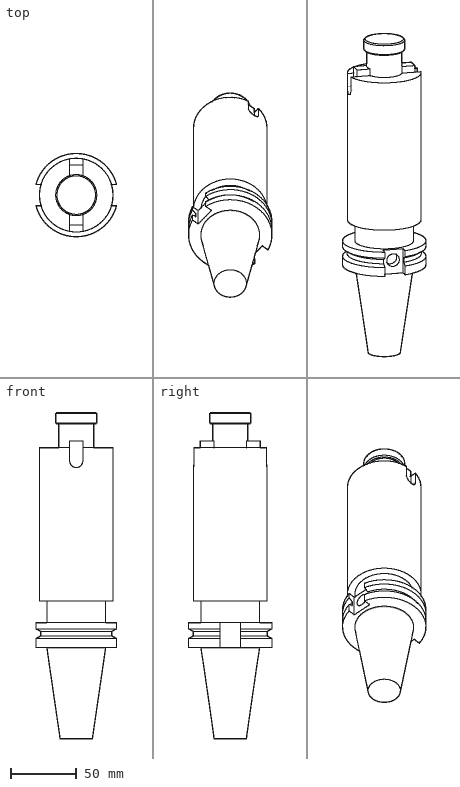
import cadquery as cq
import math

TOTAL_HEIGHT = 247.5
FLANGE_BOTTOM = 69.0
FLANGE_HEIGHT = 19.0
FLANGE_TOP = FLANGE_BOTTOM + FLANGE_HEIGHT
BODY_BOTTOM = 104.5
BODY_TOP = 220.8
SCREW_HEIGHT = 9.0
SPIGOT_TOP = TOTAL_HEIGHT - SCREW_HEIGHT

TAPER_RATIO = 7 / 24
TAPER_HEIGHT = 68.3
NECK_RADIUS = 22.3
TAPER_TIP_RADIUS = NECK_RADIUS - TAPER_HEIGHT * TAPER_RATIO / 2

FLANGE_RADIUS = 31.7
BODY_RADIUS = 28.0
SPIGOT_RADIUS = 13.4

GROOVE_FLOOR_RADIUS = 28.2
GROOVE_BOTTOM = FLANGE_BOTTOM + 7.0
GROOVE_TOP = FLANGE_TOP - 4.7
GROOVE_WALL_RISE = (FLANGE_RADIUS - GROOVE_FLOOR_RADIUS) * math.tan(math.radians(30))

NOTCH_WIDTH = 15.8
NOTCH_FLOOR = 25.0

HOLE_RADIUS = 5.0
HOLE_DEPTH = 7.5
HOLE_HEIGHT = 79.7

KEY_WIDTH = 10.0
KEY_OUTER_Y = 22.8
KEY_PROJECTION = 5.2
SLOT_DEPTH = 15.0

SCREW_RADIUS = 15.5
SCREW_CHAMFER = 1.0


def key_prism(outer_y, top):
    """Round-bottomed prism running along -Y from the spigot surface to outer_y."""
    half_width = KEY_WIDTH / 2
    slot_bottom = BODY_TOP - SLOT_DEPTH
    arc_center = slot_bottom + half_width
    prism = (
        cq.Workplane("XZ")
        .moveTo(-half_width, top)
        .lineTo(-half_width, arc_center)
        .threePointArc((0, slot_bottom), (half_width, arc_center))
        .lineTo(half_width, top)
        .close()
        .extrude(outer_y)
    )
    core = cq.Workplane("XY").circle(SPIGOT_RADIUS).extrude(TOTAL_HEIGHT)
    return prism.cut(core)


def turned_holder():
    """Taper, flange, neck, body and spigot revolved about Z."""
    profile = [
        (0, 0),
        (TAPER_TIP_RADIUS, 0),
        (NECK_RADIUS, TAPER_HEIGHT),
        (NECK_RADIUS, FLANGE_BOTTOM),
        (FLANGE_RADIUS, FLANGE_BOTTOM),
        (FLANGE_RADIUS, GROOVE_BOTTOM),
        (GROOVE_FLOOR_RADIUS, GROOVE_BOTTOM + GROOVE_WALL_RISE),
        (GROOVE_FLOOR_RADIUS, GROOVE_TOP - GROOVE_WALL_RISE),
        (FLANGE_RADIUS, GROOVE_TOP),
        (FLANGE_RADIUS, FLANGE_TOP),
        (NECK_RADIUS, FLANGE_TOP),
        (NECK_RADIUS, BODY_BOTTOM),
        (BODY_RADIUS, BODY_BOTTOM),
        (BODY_RADIUS, BODY_TOP),
        (SPIGOT_RADIUS, BODY_TOP),
        (SPIGOT_RADIUS, SPIGOT_TOP),
        (0, SPIGOT_TOP),
    ]
    return cq.Workplane("XZ").polyline(profile).close().revolve(360, (0, 0), (0, 1))


def drive_notch(side):
    """Flange notch cutter on the +X (side = 1) or -X (side = -1) side."""
    notch_depth = FLANGE_RADIUS - NOTCH_FLOOR
    return (
        cq.Workplane("XY")
        .center(side * (NOTCH_FLOOR + notch_depth / 2), 0)
        .rect(notch_depth, NOTCH_WIDTH)
        .extrude(FLANGE_HEIGHT)
        .translate((0, 0, FLANGE_BOTTOM))
    )


def notch_hole():
    """Blind hole cutter running inward from the floor of the -X notch."""
    return (
        cq.Workplane("YZ", origin=(-NOTCH_FLOOR, 0, HOLE_HEIGHT))
        .circle(HOLE_RADIUS)
        .extrude(HOLE_DEPTH)
    )


def make_holder():
    holder = turned_holder().cut(notch_hole())
    for side in (-1, 1):
        holder = holder.cut(drive_notch(side))
    for angle in (0, 180):
        slot = key_prism(BODY_RADIUS, BODY_TOP)
        holder = holder.cut(slot.rotate((0, 0, 0), (0, 0, 1), angle))
    return holder


def make_key(angle):
    """Drive key seated in the slot at the given angle about Z from -Y."""
    key = key_prism(KEY_OUTER_Y, BODY_TOP + KEY_PROJECTION)
    return key.rotate((0, 0, 0), (0, 0, 1), angle)


def make_screw_head():
    """Retaining screw head resting on the spigot."""
    return (
        cq.Workplane("XY", origin=(0, 0, SPIGOT_TOP))
        .circle(SCREW_RADIUS)
        .extrude(SCREW_HEIGHT)
        .faces("<Z or >Z")
        .chamfer(SCREW_CHAMFER)
    )


holder = make_holder()
screw_head = make_screw_head()
keys = [make_key(angle) for angle in (0, 180)]

result = cq.Compound.makeCompound([holder.val(), screw_head.val(), *[key.val() for key in keys]])